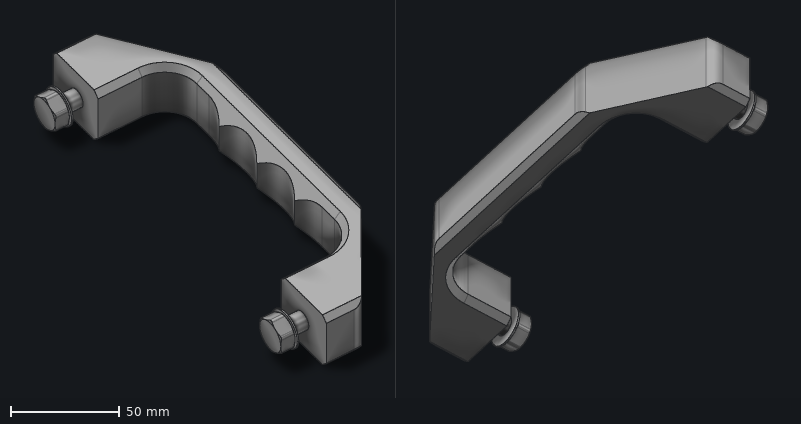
import cadquery as cq
import math

length = 218.0
body_height = 58.0
width = 32.0
edge_chamfer = 3.0
rim_chamfer = 3.3

back_half_length = 55.0
foot_outer_height = 20.0
back_corner_radius = 10.0
foot_corner_radius = 8.5

opening_half_length = 73.0
opening_height = 43.0
opening_radius = 18.0

groove_count = 4
groove_pitch = 30.0
groove_radius = 25.0

bolt_spacing = 180.0
shank_diameter = 10.0
flange_diameter = 20.5
flange_thickness = 0.9
head_width = 17.0
head_corner_radius = 2.0
head_face_diameter = 17.0
head_bevel_angle = 30
head_height = 8.0
bolt_length = 18.3
shank_length = bolt_length - flange_thickness - head_height

half_length = length / 2
half_width = width / 2
ridge_height = groove_radius - math.sqrt(groove_radius**2 - (groove_pitch / 2) ** 2)


def outer_block():
    """Solid silhouette with rounded shoulders and chamfered long edges."""
    silhouette = (
        cq.Workplane("XY")
        .polyline([
            (-half_length, 0),
            (-half_length, foot_outer_height),
            (-back_half_length, body_height),
            (back_half_length, body_height),
            (half_length, foot_outer_height),
            (half_length, 0),
        ])
        .close()
        .extrude(half_width, both=True)
    )
    silhouette = silhouette.edges("|Z and >Y").fillet(back_corner_radius)
    foot_corners = cq.selectors.BoxSelector(
        (-length, foot_outer_height - edge_chamfer, -width),
        (length, foot_outer_height + edge_chamfer, width),
    )
    silhouette = silhouette.edges("|Z").edges(foot_corners).fillet(foot_corner_radius)
    chamfered_box = (
        cq.Workplane("XY")
        .box(length, body_height, width, centered=(True, False, True))
        .edges("|Y or (|X and >Y)")
        .chamfer(edge_chamfer)
    )
    return silhouette.intersect(chamfered_box)


def opening_outline(plane, offset):
    """Arched hand opening, widened all round by offset and open past the feet."""
    half_span = opening_half_length + offset
    top = opening_height + offset
    radius = opening_radius + offset
    return (
        plane.moveTo(-half_span, -body_height)
        .lineTo(-half_span, top - radius)
        .radiusArc((-half_span + radius, top), radius)
        .lineTo(half_span - radius, top)
        .radiusArc((half_span, top - radius), radius)
        .lineTo(half_span, -body_height)
        .close()
    )


def finger_ridges():
    """Cusped ridges left standing between neighbouring finger grooves."""
    first_groove = -(groove_count - 1) * groove_pitch / 2
    ridges = (
        cq.Workplane("XY")
        .box(-2 * first_groove, ridge_height, width, centered=(True, False, True))
        .translate((0, opening_height - ridge_height, 0))
    )
    groove = (
        cq.Workplane("XY", origin=(first_groove, opening_height - groove_radius, 0))
        .circle(groove_radius)
        .extrude(width, both=True)
    )
    for i in range(groove_count):
        ridges = ridges.cut(groove.translate((i * groove_pitch, 0, 0)))
    return ridges


def opening_chamfer():
    """45 degree bevel of the opening rim, deep enough to bevel the ridges too."""
    bevel_depth = rim_chamfer + ridge_height
    top_plane = cq.Workplane("XY", origin=(0, 0, half_width))
    bevel = opening_outline(top_plane, rim_chamfer).extrude(-bevel_depth, taper=45)
    return bevel.union(bevel.mirror("XY"))


def bolt(x):
    """Flanged hex bolt projecting from a foot towards -Y."""
    foot_face = cq.Workplane("XZ", origin=(x, 0, 0))
    shank = foot_face.circle(shank_diameter / 2).extrude(shank_length)
    seat = foot_face.workplane(offset=shank_length)
    flange = seat.circle(flange_diameter / 2).extrude(flange_thickness)
    head_base = seat.workplane(offset=flange_thickness)
    hexagon = (
        head_base.polygon(6, head_width, circumscribed=True)
        .extrude(head_height)
        .edges("|Y")
        .fillet(head_corner_radius)
    )
    corner_diameter = head_width / math.cos(math.pi / 6)
    bevel_width = (corner_diameter - head_face_diameter) / 2
    bevel_height = bevel_width * math.tan(math.radians(head_bevel_angle))
    bevel_envelope = (
        head_base.circle(corner_diameter / 2)
        .extrude(head_height)
        .faces("<Y or >Y")
        .chamfer(bevel_height, bevel_width)
    )
    head = hexagon.intersect(bevel_envelope)
    return shank.union(flange).union(head)


opening = opening_outline(cq.Workplane("XY"), 0).extrude(half_width, both=True)
result = outer_block().cut(opening).union(finger_ridges()).cut(opening_chamfer())
for side in (-1, 1):
    result = result.union(bolt(side * bolt_spacing / 2))